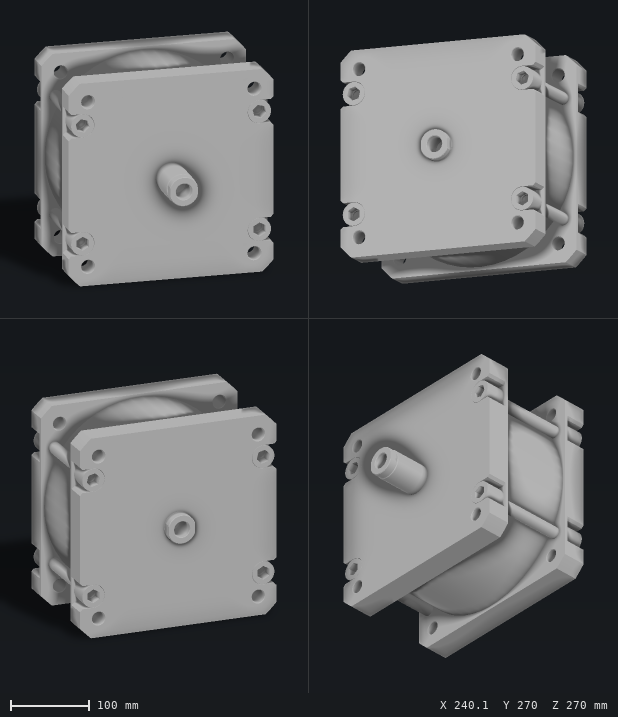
import cadquery as cq
import math

PLATE_SIDE = 270.0
PLATE_THICKNESS = 33.0
PLATE_CORNER_DIAMETER = 361.3
BARREL_LENGTH = 99.0
BARREL_DIAMETER = 261.4

MOUNT_HOLE_OFFSET = 109.5
MOUNT_HOLE_DIAMETER = 17.3
HOLE_MOUTH_CHAMFER = 0.8

TIE_ROD_Y = 116.6
TIE_ROD_Z = 78.5
TIE_ROD_DIAMETER = 16.0
HEAD_DIAMETER = 30.2
HEAD_LENGTH = 28.0
SOCKET_ACROSS_FLATS = 16.2
SOCKET_DEPTH = 13.5
SOCKET_PILOT_DIAMETER = 14.3
SOCKET_PILOT_DEPTH = 2.7
UPPER_SOCKET_TURN = 15.0

SLOT_WIDTH = 31.3
SLOT_MOUTH_CHAMFER = 3.5

ROD_DIAMETER = 40.5
ROD_LEFT_PROTRUSION = 12.5
ROD_RIGHT_PROTRUSION = 62.6
ROD_END_DIAMETER = 39.0
ROD_END_CHAMFER = 0.8
ROD_SHOULDER_TAPER = 1.0
ROD_END_LENGTH = ROD_LEFT_PROTRUSION - ROD_SHOULDER_TAPER
ROD_END_ACROSS_FLATS = 36.2
ROD_FLAT_LENGTH = 10.8
CENTRE_HOLE_DIAMETER = 21.0
CENTRE_HOLE_DEPTH = 32.5
DRILL_POINT_ANGLE = 118.0

BARREL_END = BARREL_LENGTH / 2
PLATE_OUTER = BARREL_END + PLATE_THICKNESS
HEAD_SEAT = PLATE_OUTER - HEAD_LENGTH
ROD_LEFT = -PLATE_OUTER - ROD_LEFT_PROTRUSION
ROD_RIGHT = PLATE_OUTER + ROD_RIGHT_PROTRUSION

TIE_ROD_PLACES = [(y, z) for y in (-TIE_ROD_Y, TIE_ROD_Y) for z in (-TIE_ROD_Z, TIE_ROD_Z)]


def section(x):
    """Plane across the cylinder axis at x, with local axes along Y and Z and its normal along +X."""
    return cq.Workplane("YZ", origin=(x, 0, 0))


def mirrored(body):
    """Copy of a body reflected from one end of the cylinder to the other."""
    return body.mirror("YZ")


def make_head_slot(y, z):
    """Round-ended recess for a tie-rod head, open to the side of the plate with a chamfered mouth."""
    side = math.copysign(1, y)
    half_width = SLOT_WIDTH / 2
    edge = side * PLATE_SIDE / 2
    chamfer_start = edge - side * SLOT_MOUTH_CHAMFER
    mouth_half_width = half_width + SLOT_MOUTH_CHAMFER
    return (
        section(HEAD_SEAT)
        .moveTo(y, z + half_width)
        .threePointArc((y - side * half_width, z), (y, z - half_width))
        .lineTo(chamfer_start, z - half_width)
        .lineTo(edge, z - mouth_half_width)
        .lineTo(edge, z + mouth_half_width)
        .lineTo(chamfer_start, z + half_width)
        .close()
        .extrude(HEAD_LENGTH)
    )


def make_right_plate():
    """Square end plate with its corners turned round, plus all its holes and head slots."""
    mount_pitch = 2 * MOUNT_HOLE_OFFSET
    plate = (
        section(BARREL_END)
        .rect(PLATE_SIDE, PLATE_SIDE)
        .extrude(PLATE_THICKNESS)
    )
    corner_round = section(BARREL_END).circle(PLATE_CORNER_DIAMETER / 2).extrude(PLATE_THICKNESS)
    mount_holes = (
        section(BARREL_END)
        .rect(mount_pitch, mount_pitch, forConstruction=True)
        .vertices()
        .circle(MOUNT_HOLE_DIAMETER / 2)
        .extrude(PLATE_THICKNESS)
    )
    plate = plate.cut(mount_holes)
    plate = plate.edges("%CIRCLE").chamfer(HOLE_MOUTH_CHAMFER)
    plate = plate.intersect(corner_round)
    tie_rod_holes = (
        section(BARREL_END)
        .pushPoints(TIE_ROD_PLACES)
        .circle(TIE_ROD_DIAMETER / 2)
        .extrude(PLATE_THICKNESS)
    )
    rod_bore = section(BARREL_END).circle(ROD_DIAMETER / 2).extrude(PLATE_THICKNESS)
    plate = plate.cut(tie_rod_holes).cut(rod_bore)
    for y, z in TIE_ROD_PLACES:
        plate = plate.cut(make_head_slot(y, z))
    return plate


def make_barrel():
    """Round barrel between the plates, bored for the rod."""
    return (
        section(-BARREL_END)
        .circle(BARREL_DIAMETER / 2)
        .circle(ROD_DIAMETER / 2)
        .extrude(BARREL_LENGTH)
    )


def make_tie_rod(y, z):
    """Tie rod with a flush round head at each end; each hexagon socket ends in a round pilot."""
    socket_turn = UPPER_SOCKET_TURN if z > 0 else 0
    socket_diameter = SOCKET_ACROSS_FLATS / math.cos(math.pi / 6)
    shank = section(-HEAD_SEAT).circle(TIE_ROD_DIAMETER / 2).extrude(2 * HEAD_SEAT)
    head = section(HEAD_SEAT).circle(HEAD_DIAMETER / 2).extrude(HEAD_LENGTH)
    socket = (
        section(PLATE_OUTER)
        .polygon(6, socket_diameter)
        .extrude(-SOCKET_DEPTH)
        .rotate((0, 0, 0), (1, 0, 0), 90 + socket_turn)
    )
    pilot = section(PLATE_OUTER - SOCKET_DEPTH).circle(SOCKET_PILOT_DIAMETER / 2).extrude(-SOCKET_PILOT_DEPTH)
    head = head.cut(socket).cut(pilot)
    return shank.union(head).union(mirrored(head)).translate((0, y, z))


def make_flat_cutters():
    """Two blocks that cut the wrench flats at the right-hand end of the rod."""
    offset = (ROD_END_ACROSS_FLATS + ROD_DIAMETER) / 2
    return (
        section(ROD_RIGHT)
        .pushPoints([(-offset, 0), (offset, 0)])
        .rect(ROD_DIAMETER, ROD_DIAMETER)
        .extrude(-ROD_FLAT_LENGTH)
    )


def make_centre_hole():
    """Drilled hole with a chamfered mouth and a conical bottom in the right-hand end face of the rod."""
    radius = CENTRE_HOLE_DIAMETER / 2
    point_length = radius / math.tan(math.radians(DRILL_POINT_ANGLE / 2))
    bottom = ROD_RIGHT - CENTRE_HOLE_DEPTH
    return (
        cq.Workplane("XZ")
        .moveTo(ROD_RIGHT, 0)
        .lineTo(ROD_RIGHT, radius + HOLE_MOUTH_CHAMFER)
        .lineTo(ROD_RIGHT - HOLE_MOUTH_CHAMFER, radius)
        .lineTo(bottom, radius)
        .lineTo(bottom - point_length, 0)
        .close()
        .revolve(360, (0, 0, 0), (1, 0, 0))
    )


def make_rod():
    """Through rod with a reduced, chamfered end, wrench flats and a drilled hole at both ends."""
    radius = ROD_DIAMETER / 2
    end_radius = ROD_END_DIAMETER / 2
    left_shoulder = ROD_LEFT + ROD_END_LENGTH
    right_shoulder = ROD_RIGHT - ROD_END_LENGTH
    rod = (
        cq.Workplane("XZ")
        .moveTo(ROD_LEFT, 0)
        .lineTo(ROD_LEFT, end_radius - ROD_END_CHAMFER)
        .lineTo(ROD_LEFT + ROD_END_CHAMFER, end_radius)
        .lineTo(left_shoulder, end_radius)
        .lineTo(left_shoulder + ROD_SHOULDER_TAPER, radius)
        .lineTo(right_shoulder - ROD_SHOULDER_TAPER, radius)
        .lineTo(right_shoulder, end_radius)
        .lineTo(ROD_RIGHT - ROD_END_CHAMFER, end_radius)
        .lineTo(ROD_RIGHT, end_radius - ROD_END_CHAMFER)
        .lineTo(ROD_RIGHT, 0)
        .close()
        .revolve(360, (0, 0, 0), (1, 0, 0))
    )
    end_cuts = make_flat_cutters().add(make_centre_hole())
    to_left_end = ROD_LEFT + ROD_RIGHT
    for cutter in end_cuts.vals():
        rod = rod.cut(cq.Workplane(cutter))
        rod = rod.cut(mirrored(cq.Workplane(cutter)).translate((to_left_end, 0, 0)))
    return rod


right_plate = make_right_plate()
left_plate = mirrored(right_plate)
barrel = make_barrel()
rod = make_rod()
tie_rods = [make_tie_rod(y, z) for y, z in TIE_ROD_PLACES]

result = cq.Compound.makeCompound([
    left_plate.val(),
    right_plate.val(),
    barrel.val(),
    rod.val(),
    *[tie_rod.val() for tie_rod in tie_rods],
])